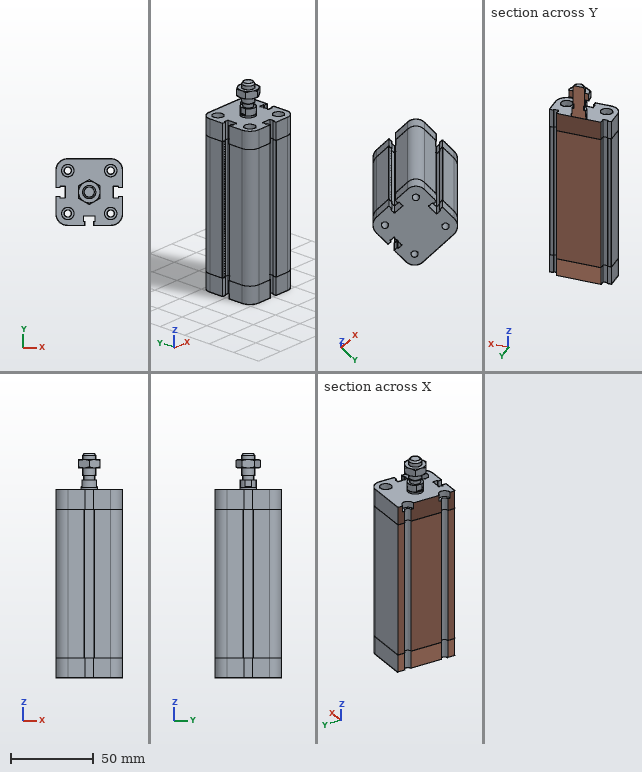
import cadquery as cq
import math

width = 40.5
total_height = 136.0
barrel_end = 114.1
cap_height = 12.1

hole_pitch = 26.0
hole_diameter = 4.2
counterbore_diameter = 7.5
counterbore_depth = 4.1
corner_radius = (width - hole_pitch) / 2

slot_depth = 5.7
slot_inner_width = 7.0
cap_mouth_width = 5.3
tube_mouth_width = 5.6
tube_mouth_chamfer = 0.3
lip_depth = 2.6
slot_angles = (-90, 0, 90)

rod_diameter = 10.0
collar_height = 1.2
wrench_diameter = 9.8
wrench_flat_width = 9.0
flat_offset = 1.9
wrench_end = 5.8
neck_diameter = 6.8
neck_length = 2.7
thread_diameter = 8.0
tip_chamfer = 1.0
tip_chamfer_height = 1.4

nut_offset = 13.0
nut_height = 5.0
nut_across_flats = 13.0
nut_chamfer_angle = 30


def slot_cutter(mouth_width, mouth_chamfer, height):
    """Square T-slot open to -Y; a chamfer of 0 leaves its mouth sharp."""
    lip = cq.Workplane("XY").box(mouth_width, lip_depth, height, centered=(True, False, False))
    inner = cq.Workplane("XY").box(
        slot_inner_width, slot_depth - lip_depth, height, centered=(True, False, False)
    )
    slot = lip.union(inner.translate((0, lip_depth, 0)))
    if mouth_chamfer > 0:
        mouth = mouth_width / 2
        flare = (
            cq.Workplane("XY")
            .polyline([
                (-mouth - mouth_chamfer, 0), (-mouth, mouth_chamfer),
                (mouth, mouth_chamfer), (mouth + mouth_chamfer, 0),
            ])
            .close()
            .extrude(height)
        )
        slot = slot.union(flare)
    return slot.translate((0, -width / 2, 0))


def hole_pattern(diameter, height):
    """Four cylinders at the mounting hole positions, standing on Z = 0."""
    centres = cq.Workplane("XY").rect(hole_pitch, hole_pitch, forConstruction=True).vertices()
    return centres.circle(diameter / 2).extrude(height)


def section_block(height, mouth_width, mouth_chamfer=0):
    """Rounded square block with three slots and four through holes, standing on Z = 0."""
    block = cq.Workplane("XY").box(width, width, height, centered=(True, True, False))
    block = block.edges("|Z").fillet(corner_radius)
    slot = slot_cutter(mouth_width, mouth_chamfer, height)
    for angle in slot_angles:
        block = block.cut(slot.rotate((0, 0, 0), (0, 0, 1), angle))
    return block.cut(hole_pattern(hole_diameter, height))


def make_bottom_cap():
    return section_block(cap_height, cap_mouth_width)


def make_tube():
    tube = section_block(barrel_end - 2 * cap_height, tube_mouth_width, tube_mouth_chamfer)
    return tube.translate((0, 0, cap_height))


def make_top_cap():
    cap = section_block(cap_height, cap_mouth_width)
    counterbores = hole_pattern(counterbore_diameter, counterbore_depth)
    cap = cap.cut(counterbores.translate((0, 0, cap_height - counterbore_depth)))
    return cap.translate((0, 0, barrel_end - cap_height))


def wrench_flat_cutter():
    """Block that cuts the +X wrench flat, with a 45 degree run-out at its lower end."""
    flat = wrench_flat_width / 2
    outside = rod_diameter / 2
    return (
        cq.Workplane("XZ")
        .polyline([
            (flat, flat_offset), (outside, flat_offset - (outside - flat)),
            (outside, wrench_end), (flat, wrench_end),
        ])
        .close()
        .extrude(outside, both=True)
    )


def make_rod():
    """Turned rod standing on the upper cap, with two wrench flats."""
    length = total_height - barrel_end
    neck_end = wrench_end + neck_length
    rod = (
        cq.Workplane("XZ")
        .polyline([
            (0, 0),
            (rod_diameter / 2, 0),
            (rod_diameter / 2, collar_height),
            (wrench_diameter / 2, collar_height),
            (wrench_diameter / 2, wrench_end),
            (neck_diameter / 2, wrench_end),
            (neck_diameter / 2, neck_end),
            (thread_diameter / 2, neck_end),
            (thread_diameter / 2, length - tip_chamfer_height),
            (thread_diameter / 2 - tip_chamfer, length),
            (0, length),
        ])
        .close()
        .revolve(360, (0, 0), (0, 1))
    )
    for angle in (0, 180):
        rod = rod.cut(wrench_flat_cutter().rotate((0, 0, 0), (0, 0, 1), angle))
    return rod.translate((0, 0, barrel_end))


def make_nut():
    """Hexagon nut with flats facing X and both ends chamfered by a cone."""
    flat_radius = nut_across_flats / 2
    half_sector = math.pi / 6
    nut_radius = flat_radius / math.cos(half_sector)
    drop = (nut_radius - flat_radius) * math.tan(math.radians(nut_chamfer_angle))
    hexagon = (
        cq.Workplane("XY")
        .polygon(6, 2 * nut_radius)
        .extrude(nut_height)
        .rotate((0, 0, 0), (0, 0, 1), math.degrees(half_sector))
    )
    envelope = (
        cq.Workplane("XZ")
        .polyline([
            (0, 0), (flat_radius, 0), (nut_radius, drop),
            (nut_radius, nut_height - drop), (flat_radius, nut_height), (0, nut_height),
        ])
        .close()
        .revolve(360, (0, 0), (0, 1))
    )
    bore = cq.Workplane("XY").circle(thread_diameter / 2).extrude(nut_height)
    return hexagon.intersect(envelope).cut(bore).translate((0, 0, barrel_end + nut_offset))


bottom_cap = make_bottom_cap()
tube = make_tube()
top_cap = make_top_cap()
rod = make_rod()
nut = make_nut()

result = cq.Compound.makeCompound([bottom_cap.val(), tube.val(), top_cap.val(), rod.val(), nut.val()])